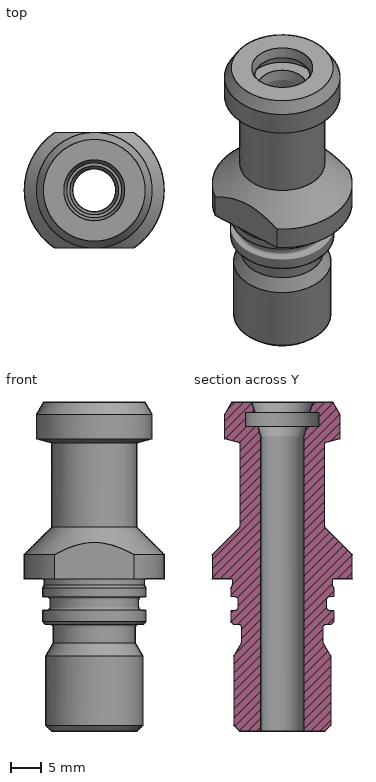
import cadquery as cq
import math

total_height = 54.0

shank_radius = 16.0 / 2
shank_end_chamfer = 1.0
relief_radius = 13.5 / 2
relief_cone_angle = math.radians(30)
relief_cone_base_z = 12.33
relief_cone_height = (shank_radius - relief_radius) / math.tan(relief_cone_angle)
relief_top_z = 17.5
relief_fillet = 0.4

pilot_radius = 17.0 / 2
pilot_bottom_chamfer = 0.5
groove_radius = 14.6 / 2
groove_bottom_z = 19.9
groove_top_z = 22.05
groove_fillet = 0.45
groove_edge_round = 0.15
pilot_top_z = 23.55
pilot_top_cone_angle = math.radians(30)
undercut_radius = 16.5 / 2
undercut_fillet = 0.2

collar_radius = 23.0 / 2
collar_bottom_z = 25.0
collar_height = 4.0
across_flats = 19.0

stem_radius = 14.0 / 2
head_radius = 19.0 / 2
head_bottom_z = 48.0
head_underside_angle = math.radians(15)
head_chamfer_height = 2.0
head_chamfer_angle = math.radians(30)

mouth_radius = 10.0 / 2
lip_radius = 9.0 / 2
recess_radius = 12.0 / 2
seat_radius = 8.0 / 2
bore_radius = 7.0 / 2
bore_taper_length = 1.7
recess_floor_depth = 3.95


def make_outer_body():
    """Revolve the outer profile about the Z axis."""
    collar_top_z = collar_bottom_z + collar_height
    stem_bottom_z = collar_top_z + collar_radius - stem_radius
    stem_top_z = head_bottom_z - (head_radius - stem_radius) * math.tan(head_underside_angle)
    pilot_top_cone_height = (pilot_radius - undercut_radius) / math.tan(pilot_top_cone_angle)
    head_top_radius = head_radius - head_chamfer_height * math.tan(head_chamfer_angle)
    profile = (
        cq.Workplane("XZ")
        .moveTo(0, 0)
        .lineTo(shank_radius - shank_end_chamfer, 0)
        .lineTo(shank_radius, shank_end_chamfer)
        .lineTo(shank_radius, relief_cone_base_z)
        .lineTo(relief_radius, relief_cone_base_z + relief_cone_height)
        .lineTo(relief_radius, relief_top_z - relief_fillet)
        .radiusArc((relief_radius + relief_fillet, relief_top_z), relief_fillet)
        .lineTo(pilot_radius - pilot_bottom_chamfer, relief_top_z)
        .lineTo(pilot_radius, relief_top_z + pilot_bottom_chamfer)
        .lineTo(pilot_radius, groove_bottom_z - groove_edge_round)
        .radiusArc((pilot_radius - groove_edge_round, groove_bottom_z), -groove_edge_round)
        .lineTo(groove_radius + groove_fillet, groove_bottom_z)
        .radiusArc((groove_radius, groove_bottom_z + groove_fillet), groove_fillet)
        .lineTo(groove_radius, groove_top_z - groove_fillet)
        .radiusArc((groove_radius + groove_fillet, groove_top_z), groove_fillet)
        .lineTo(pilot_radius - groove_edge_round, groove_top_z)
        .radiusArc((pilot_radius, groove_top_z + groove_edge_round), -groove_edge_round)
        .lineTo(pilot_radius, pilot_top_z)
        .lineTo(undercut_radius, pilot_top_z + pilot_top_cone_height)
        .lineTo(undercut_radius, collar_bottom_z - undercut_fillet)
        .radiusArc((undercut_radius + undercut_fillet, collar_bottom_z), undercut_fillet)
        .lineTo(collar_radius, collar_bottom_z)
        .lineTo(collar_radius, collar_top_z)
        .lineTo(stem_radius, stem_bottom_z)
        .lineTo(stem_radius, stem_top_z)
        .lineTo(head_radius, head_bottom_z)
        .lineTo(head_radius, total_height - head_chamfer_height)
        .lineTo(head_top_radius, total_height)
        .lineTo(0, total_height)
        .close()
    )
    return profile.revolve(360, (0, 0, 0), (0, 1, 0))


def make_bore():
    """Revolve the bore profile about the Z axis."""
    lip_z = total_height - bore_taper_length
    recess_floor_z = total_height - recess_floor_depth
    seat_bottom_z = recess_floor_z - bore_taper_length
    profile = (
        cq.Workplane("XZ")
        .moveTo(0, 0)
        .lineTo(bore_radius, 0)
        .lineTo(bore_radius, seat_bottom_z)
        .lineTo(seat_radius, recess_floor_z)
        .lineTo(recess_radius, recess_floor_z)
        .lineTo(recess_radius, lip_z)
        .lineTo(lip_radius, lip_z)
        .lineTo(mouth_radius, total_height)
        .lineTo(0, total_height)
        .close()
    )
    return profile.revolve(360, (0, 0, 0), (0, 1, 0))


def make_flats_envelope():
    """Block whose Y faces are the two wrench flats of the collar."""
    return cq.Workplane("XY").box(
        2 * collar_radius, across_flats, total_height, centered=(True, True, False)
    )


result = make_outer_body().intersect(make_flats_envelope()).cut(make_bore())